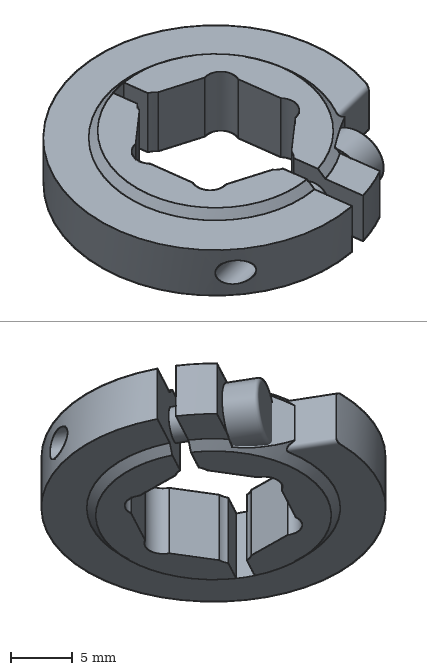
import cadquery as cq
import math

outer_radius = 13.97
ring_thickness = 4.9
hub_height = 6.35
hub_rise = (hub_height - ring_thickness) / 2
hub_top_radius = 9.55
hub_base_radius = hub_top_radius + hub_rise
flare_depth = 0.85

hex_across_flats = 12.68
hex_across_corners = hex_across_flats / math.cos(math.pi / 6)
relief_radius = 1.5
relief_center_radius = 5.87

slit_width = 1.56
slit_start_x = -hub_top_radius

screw_x = 9.1
shank_diameter = 3.0
head_diameter = 5.5
head_height = 3.0
head_fillet = 0.34
seat_y = 4.08
shank_end_y = -6.98
tip_hole_diameter = 2.51

pocket_wall_x = 6.73
pocket_wall_low_y = 8.77
pocket_seat_x = 8.95
pocket_edge_radius = 0.45


def cylinder_along_y(diameter, start_y, end_y):
    """Cylinder on the screw axis from start_y up to end_y.

    The XZ plane normal is -Y, so the extrusion length is negative.
    """
    return (
        cq.Workplane("XZ", origin=(screw_x, start_y, 0))
        .circle(diameter / 2)
        .extrude(start_y - end_y)
    )


def make_blank():
    """Ring and double-sided hub, without any cuts."""
    half_ring = ring_thickness / 2
    half_hub = hub_height / 2
    flare_radius = hub_base_radius + flare_depth
    flare_z = half_ring - flare_depth
    ring = cq.Workplane("XY").circle(outer_radius).extrude(half_ring, both=True)
    hub = (
        cq.Workplane("XZ")
        .moveTo(0, -half_hub)
        .lineTo(hub_top_radius, -half_hub)
        .lineTo(flare_radius, -flare_z)
        .lineTo(flare_radius, flare_z)
        .lineTo(hub_top_radius, half_hub)
        .lineTo(0, half_hub)
        .close()
        .revolve(360, (0, 0, 0), (0, 1, 0))
    )
    return ring, hub


def make_pocket():
    """Corner cut-out: straight wall, slanted flank and flat screw seat."""
    return (
        cq.Workplane("XY")
        .moveTo(pocket_wall_x, outer_radius)
        .lineTo(pocket_wall_x, pocket_wall_low_y)
        .lineTo(pocket_seat_x, seat_y)
        .lineTo(outer_radius, seat_y)
        .lineTo(outer_radius, outer_radius)
        .close()
        .extrude(hub_height, both=True)
    )


def make_pocket_edge_relief():
    """Rounds the ring edges along the pocket wall and clears the ring from the flared hub flank."""
    edge_z = ring_thickness / 2
    upper = (
        cq.Workplane("XZ", origin=(0, outer_radius, 0))
        .moveTo(pocket_wall_x - pocket_edge_radius, edge_z)
        .radiusArc((pocket_wall_x, edge_z - pocket_edge_radius), pocket_edge_radius)
        .lineTo(pocket_wall_x, edge_z - flare_depth)
        .lineTo(outer_radius, edge_z - flare_depth)
        .lineTo(outer_radius, edge_z)
        .close()
        .extrude(outer_radius - seat_y)
    )
    return upper.union(upper.mirror("XY"))


def make_bore():
    """Hexagon with corners on the X axis, plus its six corner reliefs."""
    hexagon = cq.Workplane("XY").polygon(6, hex_across_corners).extrude(hub_height, both=True)
    reliefs = (
        cq.Workplane("XY")
        .polarArray(relief_center_radius, 0, 360, 6)
        .circle(relief_radius)
        .extrude(hub_height, both=True)
    )
    return hexagon.union(reliefs)


def make_slit():
    """Slit from the closed side of the hub out through the +X side."""
    length = outer_radius - slit_start_x
    start = cq.Workplane("XY", origin=(slit_start_x, 0, 0))
    return start.box(length, slit_width, hub_height, centered=(False, True, True))


def make_collar():
    ring, hub = make_blank()
    blank = ring.cut(make_pocket_edge_relief()).union(hub)
    shank_hole = cylinder_along_y(shank_diameter, shank_end_y, seat_y)
    tip_hole = cylinder_along_y(tip_hole_diameter, -outer_radius, shank_end_y)
    return (
        blank.cut(make_pocket())
        .cut(make_bore())
        .cut(make_slit())
        .cut(shank_hole)
        .cut(tip_hole)
    )


def make_screw():
    shank = cylinder_along_y(shank_diameter, shank_end_y, seat_y)
    head = cylinder_along_y(head_diameter, seat_y, seat_y + head_height)
    head = head.faces(">Y").edges().fillet(head_fillet)
    return shank.union(head)


collar = make_collar()
screw = make_screw()
result = cq.Compound.makeCompound([collar.val(), screw.val()])